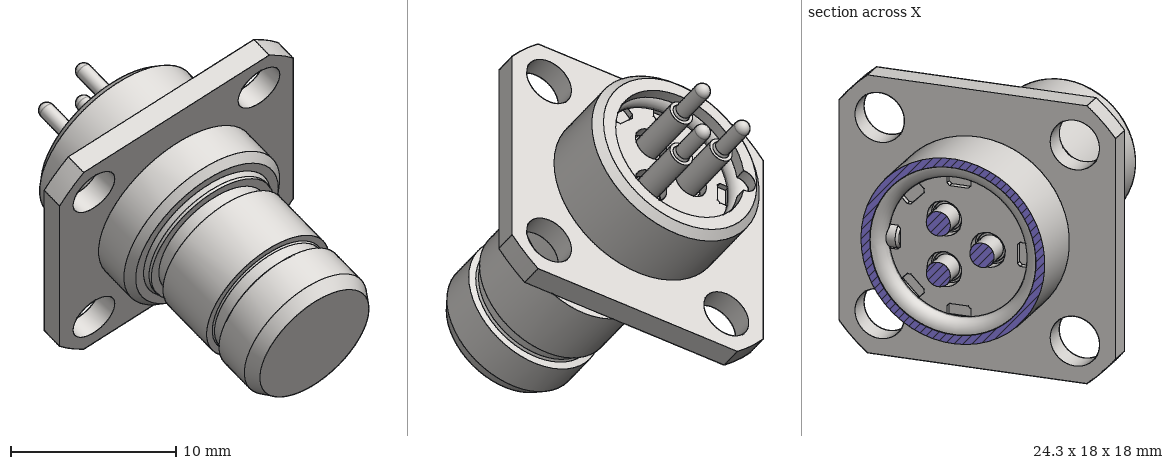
import cadquery as cq
import math


LENGTH = 24.28
BODY_FRONT = 4.5
FLANGE_FRONT = 9.27
BODY_BACK = 13.77
SHOULDER_BACK = 14.3
BARREL_FRONT = 15.45
GROOVE_FRONT = 19.72
GROOVE_BACK = 20.93

BODY_RADIUS = 6.0
BODY_CHAMFER = 0.5
SHOULDER_FRONT_RADIUS = 4.88
BARREL_RADIUS = 4.7
SHOULDER_TAPER = 0.32
NECK_RADIUS = 4.13
GROOVE_RADIUS = 4.2
GROOVE_FRONT_TAPER = 0.12
GROOVE_BACK_TAPER = 0.2
GROOVE_BACK_STEP = 0.1
GROOVE_FLOOR_RISE = 0.07
END_CHAMFER_LENGTH = 0.87
END_CHAMFER_DEPTH = 0.5

FLANGE_SIDE = 18.0
FLANGE_THICKNESS = 1.5
FLANGE_CORNER_RADIUS = 11.48
MOUNT_HOLE_RADIUS = 1.6
MOUNT_HOLE_SPACING = 12.7

SOCKET_RADIUS = 4.61
INSULATOR_FACE = 6.26
BORE_END = 5.25
SEAL_FRONT = 5.3
SEAL_TUBE_RADIUS = 0.85
SEAL_INNER_RADIUS = 4.55
KEYWAY_RADIUS = 0.78

NOTCH_WIDTH = 1.55
NOTCH_INNER_RADIUS = 3.8
NOTCH_DEPTH = 0.36
NOTCH_CHAMFER = 0.17
KEY_BEVEL = 0.17
NOTCH_ANGLES = (0, 45, 90, 180, 270, 315)

CONTACT_ANGLES = (60, 180, 300)
CONTACT_CIRCLE_RADIUS = 1.9
PIN_RADIUS = 0.5
PIN_FLARE_RADIUS = 0.58
PIN_FLARE_LENGTH = 0.2
SLEEVE_FRONT = 2.87
SLEEVE_RADIUS = 0.8
COLLAR_RADIUS = 0.95
COLLAR_LENGTH = 0.25
CONTACT_HOLE_RADIUS = 1.12
CONTACT_HOLE_DEPTH = 0.73


def rod(radius, start, end, y=0, z=0):
    """Cylinder parallel to X from x = start to x = end."""
    return cq.Workplane("YZ", origin=(start, y, z)).circle(radius).extrude(end - start)


def make_shell():
    """Solid of revolution: front body, neck and grooved rear barrel."""
    outline = [
        (BODY_FRONT, 0),
        (BODY_FRONT, BODY_RADIUS - BODY_CHAMFER),
        (BODY_FRONT + BODY_CHAMFER, BODY_RADIUS),
        (BODY_BACK - BODY_CHAMFER, BODY_RADIUS),
        (BODY_BACK, BODY_RADIUS - BODY_CHAMFER),
        (BODY_BACK, SHOULDER_FRONT_RADIUS),
        (BODY_BACK + SHOULDER_TAPER, BARREL_RADIUS),
        (SHOULDER_BACK, BARREL_RADIUS),
        (SHOULDER_BACK, NECK_RADIUS),
        (BARREL_FRONT, NECK_RADIUS),
        (BARREL_FRONT, BARREL_RADIUS),
        (GROOVE_FRONT, BARREL_RADIUS),
        (GROOVE_FRONT, GROOVE_RADIUS + GROOVE_FLOOR_RISE),
        (GROOVE_FRONT + GROOVE_FRONT_TAPER, GROOVE_RADIUS),
        (GROOVE_BACK - GROOVE_BACK_STEP - GROOVE_BACK_TAPER, GROOVE_RADIUS),
        (GROOVE_BACK - GROOVE_BACK_STEP, GROOVE_RADIUS + GROOVE_FLOOR_RISE),
        (GROOVE_BACK, BARREL_RADIUS),
        (LENGTH - END_CHAMFER_LENGTH, BARREL_RADIUS),
        (LENGTH, BARREL_RADIUS - END_CHAMFER_DEPTH),
        (LENGTH, 0),
    ]
    return cq.Workplane("XY").polyline(outline).close().revolve(360, (0, 0), (1, 0))


def make_flange():
    """Square plate with its corners rounded about the axis and four mounting holes."""
    back = FLANGE_FRONT + FLANGE_THICKNESS
    plate = (
        cq.Workplane("YZ", origin=(FLANGE_FRONT, 0, 0))
        .rect(FLANGE_SIDE, FLANGE_SIDE)
        .extrude(FLANGE_THICKNESS)
        .intersect(rod(FLANGE_CORNER_RADIUS, FLANGE_FRONT, back))
    )
    return (
        plate.faces("<X")
        .workplane()
        .rect(MOUNT_HOLE_SPACING, MOUNT_HOLE_SPACING, forConstruction=True)
        .vertices()
        .hole(2 * MOUNT_HOLE_RADIUS)
    )


def make_socket():
    """Socket space: a straight bore ending in a groove where a round seal bulges inward."""
    tube_x = SEAL_FRONT + SEAL_TUBE_RADIUS
    tube_r = SEAL_INNER_RADIUS + SEAL_TUBE_RADIUS
    half_diagonal = SEAL_TUBE_RADIUS * math.sqrt(0.5)
    return (
        cq.Workplane("XY")
        .moveTo(BODY_FRONT, 0)
        .lineTo(BODY_FRONT, SOCKET_RADIUS)
        .lineTo(BORE_END, SOCKET_RADIUS)
        .lineTo(BORE_END, tube_r)
        .lineTo(SEAL_FRONT, tube_r)
        .threePointArc((tube_x - half_diagonal, tube_r - half_diagonal), (tube_x, SEAL_INNER_RADIUS))
        .lineTo(INSULATOR_FACE, SEAL_INNER_RADIUS)
        .lineTo(INSULATOR_FACE, 0)
        .close()
        .revolve(360, (0, 0), (1, 0))
    )


def make_notch(angle):
    """Notch in the edge of the insulator face, at an angle from +Y towards +Z."""
    radial_length = SOCKET_RADIUS - NOTCH_INNER_RADIUS
    return (
        cq.Workplane("XY")
        .box(NOTCH_DEPTH, radial_length, NOTCH_WIDTH, centered=(False, False, True))
        .edges("|X and <Y")
        .chamfer(NOTCH_CHAMFER)
        .translate((INSULATOR_FACE, NOTCH_INNER_RADIUS, 0))
        .rotate((0, 0, 0), (1, 0, 0), angle)
    )


def make_key():
    """Key standing in the +Y notch: a half cylinder along Y with a bevelled inner end."""
    bottom = INSULATOR_FACE + NOTCH_DEPTH
    return (
        cq.Workplane("XZ", origin=(bottom, SOCKET_RADIUS, 0))
        .circle(NOTCH_WIDTH / 2)
        .extrude(SOCKET_RADIUS - NOTCH_INNER_RADIUS)
        .faces("<Y")
        .chamfer(KEY_BEVEL)
        .intersect(rod(SOCKET_RADIUS, bottom - NOTCH_WIDTH / 2, bottom))
    )


def make_contact():
    """Stepped contact on the X axis: domed pin, small flare, thick sleeve and root collar."""
    end = INSULATOR_FACE + CONTACT_HOLE_DEPTH
    dome_offset = PIN_RADIUS * math.sqrt(0.5)
    return (
        cq.Workplane("XY")
        .moveTo(0, 0)
        .threePointArc((PIN_RADIUS - dome_offset, dome_offset), (PIN_RADIUS, PIN_RADIUS))
        .lineTo(SLEEVE_FRONT - PIN_FLARE_LENGTH, PIN_RADIUS)
        .lineTo(SLEEVE_FRONT, PIN_FLARE_RADIUS)
        .lineTo(SLEEVE_FRONT, SLEEVE_RADIUS)
        .lineTo(end - COLLAR_LENGTH, SLEEVE_RADIUS)
        .lineTo(end - COLLAR_LENGTH, COLLAR_RADIUS)
        .lineTo(end, COLLAR_RADIUS)
        .lineTo(end, 0)
        .close()
        .revolve(360, (0, 0), (1, 0))
    )


result = make_shell().union(make_flange())

result = result.cut(make_socket())
result = result.cut(rod(KEYWAY_RADIUS, BODY_FRONT, BORE_END, y=-SOCKET_RADIUS))

for notch_angle in NOTCH_ANGLES:
    result = result.cut(make_notch(notch_angle))

result = result.union(make_key())

hole_bottom = INSULATOR_FACE + CONTACT_HOLE_DEPTH
for contact_angle in CONTACT_ANGLES:
    y = CONTACT_CIRCLE_RADIUS * math.cos(math.radians(contact_angle))
    z = CONTACT_CIRCLE_RADIUS * math.sin(math.radians(contact_angle))
    result = result.cut(rod(CONTACT_HOLE_RADIUS, INSULATOR_FACE, hole_bottom, y, z))
    result = result.union(make_contact().translate((0, y, z)))